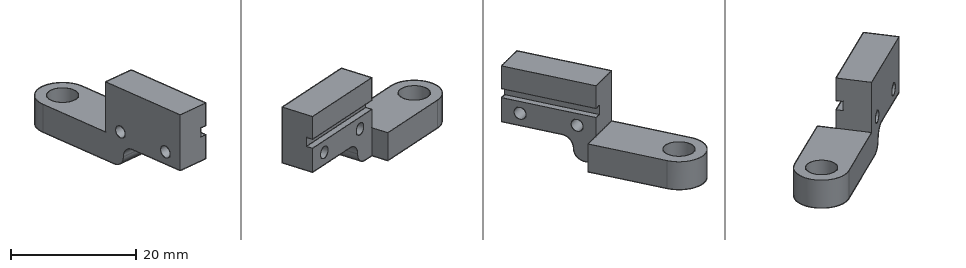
import cadquery as cq

length = 35.1
height = 14.0

arm_width = 9.0
arm_thickness = 5.02
eye_radius = arm_width / 2
eye_hole_diameter = 5.12

block_start = 18.43
block_width = 5.9
block_bottom = 4.0

foot_length = 4.0
bend_radius = block_bottom / 2
foot_end = block_start + foot_length

pin_diameter = 2.1
pin_height = 6.2
first_pin_x = 21.75
pin_spacing = 10.05

groove_depth = 1.2
groove_bottom = 8.32
groove_height = 1.6


def make_arm():
    outline = (
        cq.Workplane("XY")
        .moveTo(block_start, 0)
        .lineTo(eye_radius, 0)
        .threePointArc((0, eye_radius), (eye_radius, arm_width))
        .lineTo(block_start, arm_width)
        .close()
    )
    arm = outline.extrude(arm_thickness)
    eye_hole = (
        cq.Workplane("XY")
        .center(eye_radius, eye_radius)
        .circle(eye_hole_diameter / 2)
        .extrude(arm_thickness)
    )
    return arm.cut(eye_hole)


def make_block():
    profile = (
        cq.Workplane("XZ")
        .moveTo(block_start, 0)
        .lineTo(foot_end - bend_radius, 0)
        .radiusArc((foot_end, bend_radius), -bend_radius)
        .radiusArc((foot_end + bend_radius, block_bottom), bend_radius)
        .lineTo(length, block_bottom)
        .lineTo(length, height)
        .lineTo(block_start, height)
        .close()
    )
    return profile.extrude(-block_width)


def make_pin_holes():
    centers = [(first_pin_x + i * pin_spacing, pin_height) for i in range(2)]
    return cq.Workplane("XZ").pushPoints(centers).circle(pin_diameter / 2).extrude(-block_width)


def make_groove():
    return cq.Workplane("XY").box(
        length - block_start, groove_depth, groove_height, centered=False
    ).translate((block_start, block_width - groove_depth, groove_bottom))


block = make_block().cut(make_pin_holes()).cut(make_groove())
result = make_arm().union(block)